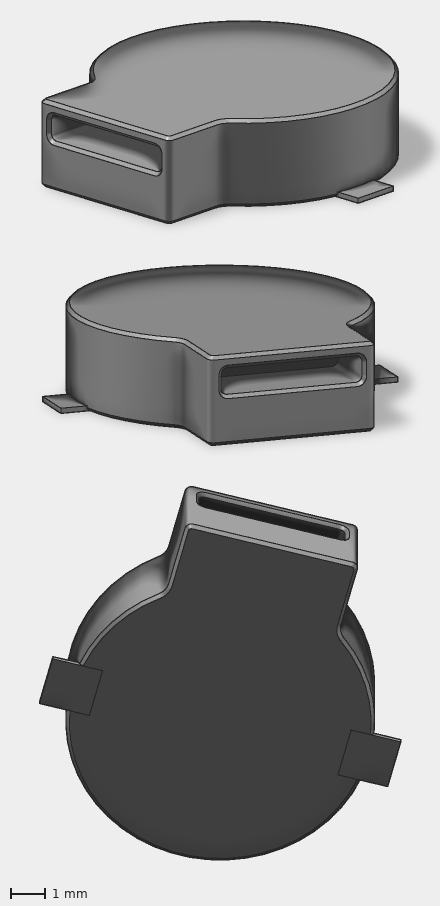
import cadquery as cq
import math

drum_radius = 4.5
height = 2.7
spout_width = 5.2
spout_reach = 5.97
neck_radius = 0.5
spout_corner_radius = 0.2
edge_chamfer = 0.1

port_width = 4.4
port_height = 0.8
port_top_gap = 0.4
port_depth = 2.1
port_corner_radius = 0.2
port_chamfer = 0.1

tab_span = 10.5
tab_width = 1.5
tab_length = 1.5
tab_thickness = 0.16


def housing_outline():
    """Closed outline of drum and spout, with the neck blends as tangent arcs."""
    half_spout = spout_width / 2
    blend_x = half_spout + neck_radius
    blend_y = -math.sqrt((drum_radius + neck_radius) ** 2 - blend_x ** 2)

    drum_share = drum_radius / (drum_radius + neck_radius)
    touch_x = blend_x * drum_share
    touch_y = blend_y * drum_share

    to_drum = math.atan2(-blend_y, -blend_x)
    mid_angle = (to_drum + math.pi) / 2
    mid_x = blend_x + neck_radius * math.cos(mid_angle)
    mid_y = blend_y + neck_radius * math.sin(mid_angle)

    return (
        cq.Workplane("XY")
        .moveTo(touch_x, touch_y)
        .threePointArc((0, drum_radius), (-touch_x, touch_y))
        .threePointArc((-mid_x, mid_y), (-half_spout, blend_y))
        .lineTo(-half_spout, -spout_reach)
        .lineTo(half_spout, -spout_reach)
        .lineTo(half_spout, blend_y)
        .threePointArc((mid_x, mid_y), (touch_x, touch_y))
        .close()
    )


def make_shell():
    """Housing block with rounded spout corners and chamfered rims."""
    block = housing_outline().extrude(height)
    front_corners = block.faces("<Y").edges("|Z")
    rounded = front_corners.fillet(spout_corner_radius)
    return rounded.faces("<Z or >Z").chamfer(edge_chamfer)


def cut_port(body):
    """Cut the blind sound port and chamfer its mouth."""
    center_z = height - port_top_gap - port_height / 2
    cavity = (
        cq.Workplane("XZ", origin=(0, -spout_reach, center_z))
        .rect(port_width, port_height)
        .extrude(-port_depth)
        .edges("|Y")
        .fillet(port_corner_radius)
    )
    mouth_edges = body.cut(cavity).faces("<Y").wires(cq.selectors.LengthNthSelector(0))
    return mouth_edges.chamfer(port_chamfer)


def make_tab(side):
    """Flat tab flush with the underside; side is -1 for the -X tab and +1 for the +X tab."""
    center_x = side * (tab_span - tab_length) / 2
    return (
        cq.Workplane("XY")
        .center(center_x, 0)
        .rect(tab_length, tab_width)
        .extrude(tab_thickness)
    )


tabs = [make_tab(side) for side in (-1, 1)]


housing = cut_port(make_shell())
for tab in tabs:
    housing = housing.cut(tab)

result = cq.Compound.makeCompound([housing.val(), *[tab.val() for tab in tabs]])